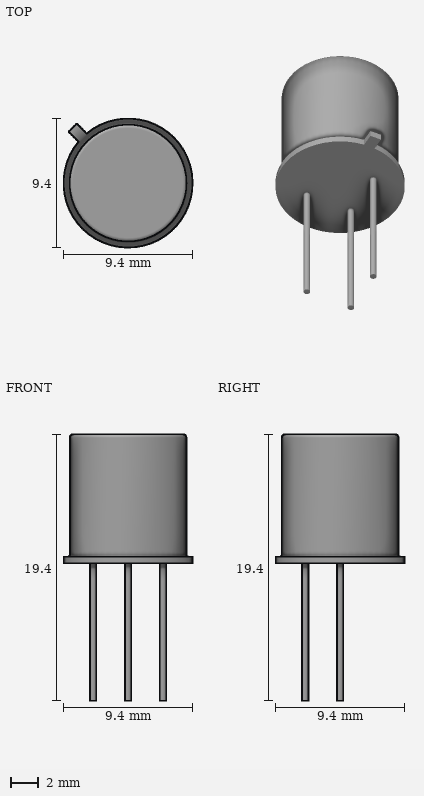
import cadquery as cq

FLANGE_DIAMETER = 9.4
FLANGE_THICKNESS = 0.5
CAN_DIAMETER = 8.5
CAN_TOP = 9.4
CAN_TOP_RADIUS = 0.25
CAN_FOOT_RADIUS = 0.12

TAB_WIDTH = 0.85
TAB_REACH = 5.7
TAB_ANGLE = 135

LEAD_DIAMETER = 0.48
LEAD_LENGTH = 10.0
LEAD_CIRCLE_RADIUS = 2.54
LEAD_ANGLES = (180, 270, 0)


def make_can():
    """Flange and cap, with a rounded top rim and a small fillet where they meet."""
    flange_radius = FLANGE_DIAMETER / 2
    can_radius = CAN_DIAMETER / 2
    half_section = (
        cq.Workplane("XZ")
        .lineTo(flange_radius, 0)
        .lineTo(flange_radius, FLANGE_THICKNESS)
        .lineTo(can_radius + CAN_FOOT_RADIUS, FLANGE_THICKNESS)
        .radiusArc((can_radius, FLANGE_THICKNESS + CAN_FOOT_RADIUS), CAN_FOOT_RADIUS)
        .lineTo(can_radius, CAN_TOP - CAN_TOP_RADIUS)
        .radiusArc((can_radius - CAN_TOP_RADIUS, CAN_TOP), -CAN_TOP_RADIUS)
        .lineTo(0, CAN_TOP)
        .close()
    )
    return half_section.revolve(360, (0, 0, 0), (0, 1, 0))


def make_tab():
    """Flat locating tab that runs radially out of the flange."""
    tab = cq.Workplane("XY").box(TAB_REACH, TAB_WIDTH, FLANGE_THICKNESS, centered=(False, True, False))
    return tab.rotate((0, 0, 0), (0, 0, 1), TAB_ANGLE)


def make_lead(angle):
    """Straight round lead hanging below the flange."""
    lead = (
        cq.Workplane("XY")
        .center(LEAD_CIRCLE_RADIUS, 0)
        .circle(LEAD_DIAMETER / 2)
        .extrude(-LEAD_LENGTH)
    )
    return lead.rotate((0, 0, 0), (0, 0, 1), angle)


result = make_can().union(make_tab())
for lead_angle in LEAD_ANGLES:
    result = result.union(make_lead(lead_angle))